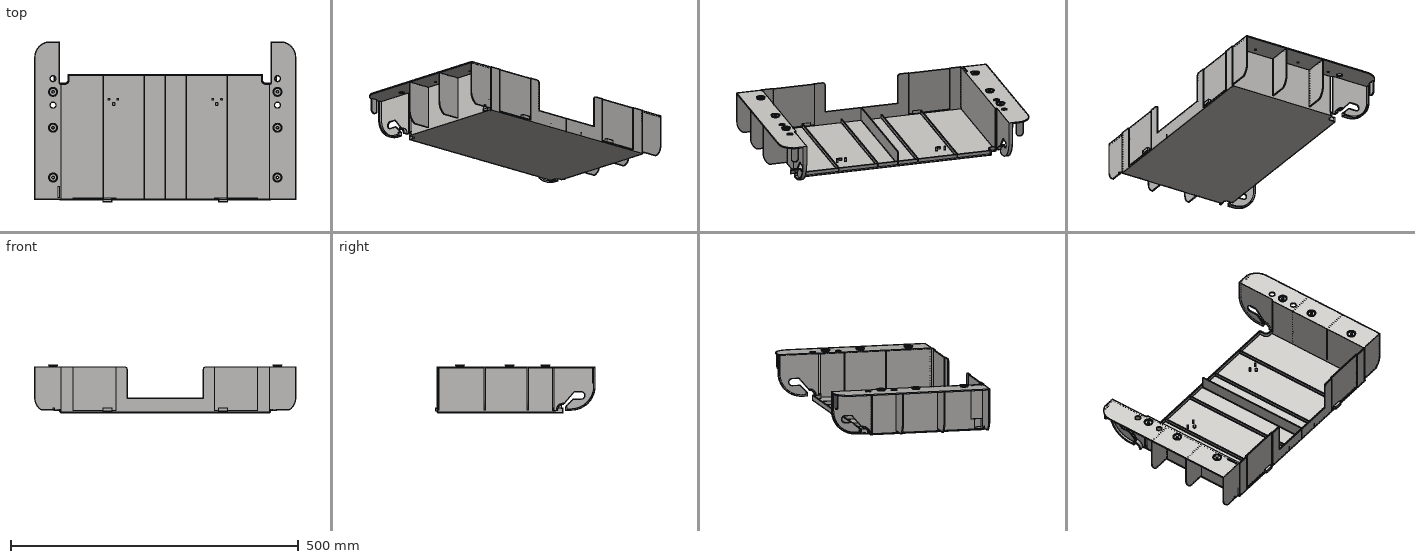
import cadquery as cq
import math

SHEET = 2.0
OVERALL_WIDTH = 453.8
REAR_Y = 274.75
TOP_Z = 80.2
BEND_RADIUS = 2.7

WALL_INNER_X = 181.0
WALL_OUTER_X = WALL_INNER_X + SHEET
WALL_END_Y = 200.4
FLOOR_REAR_Y = 218.6
NOTCH_X = 169.0
NOTCH_Y = 203.4
NOTCH_RADIUS = 6.0
LIP_TOP_Z = 8.5

CUTOUT_HALF_WIDTH = 66.0
CUTOUT_BOTTOM_Z = 25.5
CUTOUT_CORNER = 5.0
RECESS_INNER_X = 85.8
RECESS_OUTER_X = 160.2
RECESS_DEPTH = 1.5
RECESS_BOTTOM_Z = 4.0
CATCH_X = 100.6
CATCH_WIDTH = 15.5
CATCH_REACH = 3.0
CATCH_BOTTOM_Z = 3.0
CATCH_TOP_Z = 8.5

RIB_THICKNESS = 1.5
LOW_RIB_TOP_Z = 8.5
LOW_RIB_XS = (36.4, 107.8)
CENTRE_RIB_CORNER = 3.0

FLOOR_PINS = ((82.7, 175.4, 3.0, 6.0), (97.9, 175.4, 3.0, 6.0), (89.6, 167.2, 5.0, 3.0))

FLANGE_OUTER_X = OVERALL_WIDTH / 2
FLANGE_FRONT_Y = 1.5
FLANGE_CORNER_RADIUS = 28.0
FLANGE_CORNER_RUN = 20.5
GUSSET_FRONT_YS = (FLANGE_FRONT_Y, 82.0, 156.5)
GUSSET_BOTTOM_Z = 5.2
GUSSET_CORNER_RADIUS = 24.0
GUSSET_CORNER_RUN = 11.5

EAR_STEP = 3.0
EAR_INNER_X = WALL_INNER_X + EAR_STEP
EAR_OUTER_X = EAR_INNER_X + SHEET
EAR_START_Y = WALL_END_Y + EAR_STEP
EAR_BOTTOM_Z = 4.6
EAR_RADIUS = 42.0
RIM_THICKNESS = 2.5
RIM_OUTER_X = 190.5
RIM_END_Y = 223.0
RIM_END_Z = 10.5

SLOT_WIDTH = 12.5
SLOT_END_Y = 250.5
SLOT_Z = 30.4
SLOT_UPPER_BEND_Y = 238.5
SLOT_LOWER_BEND_Y = 236.5
MOUTH_Y = 219.5
MOUTH_Z = EAR_BOTTOM_Z
MOUTH_RADIUS = 10.0
MOUTH_LIP_THICKNESS = 2.3
MOUTH_LIP_OUTER_X = 193.0

TAB_X = 204.5
TAB_WIDTH = 12.5
TAB_REAR_Y = 272.0
TAB_BOTTOM_Z = 52.0
TAB_CORNER = 6.0

HOLE_X = 195.0
PLAIN_HOLE_YS = (165.3, 211.3)
PLAIN_HOLE_DIAMETER = 10.0
COLLAR_YS = (39.5, 126.0, 188.3)
COLLAR_DIAMETER = 15.5
COLLAR_NECK_DIAMETER = 12.5
COLLAR_BORE = 3.8
COLLAR_TOP_Z = 82.9
COLLAR_RECESS_DEPTH = 1.0

GUSSET_NOTCH_X = (-195.5, -192.5)
GUSSET_NOTCH_TOP_Z = 8.2
KEEPER_THICKNESS = 1.0
KEEPER_REAR_Y = 24.3
KEEPER_FRONT_Y = FLANGE_FRONT_Y + SHEET
KEEPER_STEP_Z = 20.5
KEEPER_FOOT_THICKNESS = 0.5
KEEPER_BASE_TOP_Z = 6.2
KEEPER_FOOT_Y = (6.5, 17.5)
KEEPER_SLOT_Y = (5.0, 23.5)
KEEPER_SLOT_X = 186.0


def box(x0, x1, y0, y1, z0, z1):
    return cq.Workplane("XY").box(x1 - x0, y1 - y0, z1 - z0, centered=False).translate((x0, y0, z0))


def cylinder(x, y, z, diameter, height):
    return cq.Workplane("XY").workplane(offset=z).center(x, y).circle(diameter / 2).extrude(height)


def both_sides(shape):
    return shape.union(shape.mirror("YZ"))


def forward_reach(radius, run):
    """Forward length of an arc that starts straight forward and turns sideways by `run`."""
    return math.sqrt(radius**2 - (radius - run) ** 2)


def arc_middle(radius, run):
    """Point half way along that arc as (sideways, forward)."""
    half_angle = math.acos((radius - run) / radius) / 2
    return radius * (1 - math.cos(half_angle)), radius * math.sin(half_angle)


def floor_outline(inset):
    """Floor outline with its two rear corner notches, moved inwards by `inset`."""
    side = WALL_OUTER_X - inset
    rear = FLOOR_REAR_Y - inset
    notch_x = NOTCH_X - inset
    notch_y = NOTCH_Y - inset
    corner = NOTCH_RADIUS + inset
    bend = corner * (1 - math.sqrt(0.5))
    return (
        cq.Workplane("XY")
        .moveTo(-side, inset)
        .lineTo(side, inset)
        .lineTo(side, notch_y)
        .lineTo(notch_x + corner, notch_y)
        .threePointArc((notch_x + bend, notch_y + bend), (notch_x, notch_y + corner))
        .lineTo(notch_x, rear)
        .lineTo(-notch_x, rear)
        .lineTo(-notch_x, notch_y + corner)
        .threePointArc((-notch_x - bend, notch_y + bend), (-notch_x - corner, notch_y))
        .lineTo(-side, notch_y)
        .close()
    )


def make_tray():
    block = floor_outline(0).extrude(LIP_TOP_Z)
    block = block.union(box(-WALL_OUTER_X, WALL_OUTER_X, 0, WALL_END_Y, 0, TOP_Z))
    block = block.faces("<Z").edges("<X or >X or <Y").fillet(BEND_RADIUS)
    tray = block.cut(floor_outline(SHEET).extrude(TOP_Z).translate((0, 0, SHEET)))
    front_corner = box(WALL_INNER_X, WALL_OUTER_X, 0, FLANGE_FRONT_Y, BEND_RADIUS, TOP_Z)
    return tray.cut(both_sides(front_corner))


def recess_front_wall(body):
    """Step the front wall back between the two recess lines on each side."""
    backing = box(
        RECESS_INNER_X, RECESS_OUTER_X, RECESS_DEPTH, RECESS_DEPTH + SHEET, RECESS_BOTTOM_Z, TOP_Z
    )
    step = box(RECESS_INNER_X, RECESS_OUTER_X, 0, RECESS_DEPTH, RECESS_BOTTOM_Z, TOP_Z)
    return body.union(both_sides(backing)).cut(both_sides(step))


def make_front_cutout():
    """Central opening in the front wall with rounded upper corners on the wall either side."""
    cutout = box(-CUTOUT_HALF_WIDTH, CUTOUT_HALF_WIDTH, 0, SHEET, CUTOUT_BOTTOM_Z, TOP_Z)
    corner_x = CUTOUT_HALF_WIDTH + CUTOUT_CORNER
    corner_z = TOP_Z - CUTOUT_CORNER
    flare = box(CUTOUT_HALF_WIDTH, corner_x, 0, SHEET, corner_z, TOP_Z)
    rounding = (
        cq.Workplane("XZ")
        .center(corner_x, corner_z)
        .circle(CUTOUT_CORNER)
        .extrude(-SHEET)
    )
    return cutout.union(both_sides(flare.cut(rounding)))


def make_catch():
    """Right-hand block that projects from the foot of the recessed front wall."""
    half_width = CATCH_WIDTH / 2
    return box(
        CATCH_X - half_width,
        CATCH_X + half_width,
        -CATCH_REACH,
        RECESS_DEPTH + SHEET,
        CATCH_BOTTOM_Z,
        CATCH_TOP_Z,
    )


def make_ribs():
    half = RIB_THICKNESS / 2
    centre = box(-half, half, SHEET, FLOOR_REAR_Y - SHEET, SHEET, CUTOUT_BOTTOM_Z)
    ribs = centre.edges("|X and >Y and >Z").fillet(CENTRE_RIB_CORNER)
    for x in LOW_RIB_XS:
        low_rib = box(x - half, x + half, SHEET, FLOOR_REAR_Y - SHEET, SHEET, LOW_RIB_TOP_Z)
        ribs = ribs.union(both_sides(low_rib))
    return ribs


def make_floor_pins():
    pins = cq.Workplane("XY")
    for x, y, diameter, height in FLOOR_PINS:
        pins = pins.union(cylinder(x, y, SHEET, diameter, height))
    return both_sides(pins)


def make_flange():
    """Horizontal right-hand top flange with an arc at its outer rear corner."""
    arc_rise = forward_reach(FLANGE_CORNER_RADIUS, FLANGE_CORNER_RUN)
    mid_in, mid_back = arc_middle(FLANGE_CORNER_RADIUS, FLANGE_CORNER_RUN)
    arc_start_y = REAR_Y - arc_rise
    return (
        cq.Workplane("XY")
        .workplane(offset=TOP_Z - SHEET)
        .moveTo(WALL_INNER_X, FLANGE_FRONT_Y)
        .lineTo(FLANGE_OUTER_X, FLANGE_FRONT_Y)
        .lineTo(FLANGE_OUTER_X, arc_start_y)
        .threePointArc(
            (FLANGE_OUTER_X - mid_in, arc_start_y + mid_back),
            (FLANGE_OUTER_X - FLANGE_CORNER_RUN, REAR_Y),
        )
        .lineTo(EAR_INNER_X, REAR_Y)
        .lineTo(EAR_INNER_X, EAR_START_Y)
        .lineTo(WALL_INNER_X, WALL_END_Y)
        .close()
        .extrude(SHEET)
    )


def make_gusset(front_y):
    arc_rise = forward_reach(GUSSET_CORNER_RADIUS, GUSSET_CORNER_RUN)
    mid_in, mid_down = arc_middle(GUSSET_CORNER_RADIUS, GUSSET_CORNER_RUN)
    arc_start_z = GUSSET_BOTTOM_Z + arc_rise
    return (
        cq.Workplane("XZ", origin=(0, front_y, 0))
        .moveTo(WALL_INNER_X, TOP_Z)
        .lineTo(FLANGE_OUTER_X, TOP_Z)
        .lineTo(FLANGE_OUTER_X, arc_start_z)
        .threePointArc(
            (FLANGE_OUTER_X - mid_in, arc_start_z - mid_down),
            (FLANGE_OUTER_X - GUSSET_CORNER_RUN, GUSSET_BOTTOM_Z),
        )
        .lineTo(WALL_INNER_X, GUSSET_BOTTOM_Z)
        .close()
        .extrude(-SHEET)
    )


def make_joggle():
    """Slanted strip that joins the side wall to the ear set outside it."""
    return (
        cq.Workplane("XY")
        .workplane(offset=EAR_BOTTOM_Z)
        .moveTo(WALL_INNER_X, WALL_END_Y)
        .lineTo(WALL_OUTER_X, WALL_END_Y)
        .lineTo(EAR_OUTER_X, EAR_START_Y)
        .lineTo(EAR_INNER_X, EAR_START_Y)
        .close()
        .extrude(TOP_Z - EAR_BOTTOM_Z)
    )


def ear_outline(inset):
    """Right-hand ear outline with its rear and bottom edges moved inwards by `inset`."""
    rear = REAR_Y - inset
    bottom = EAR_BOTTOM_Z + inset
    radius = EAR_RADIUS - inset
    bend = radius * (1 - math.sqrt(0.5))
    return (
        cq.Workplane("YZ", origin=(EAR_INNER_X, 0, 0))
        .moveTo(EAR_START_Y, TOP_Z)
        .lineTo(rear, TOP_Z)
        .lineTo(rear, bottom + radius)
        .threePointArc((rear - bend, bottom + bend), (rear - radius, bottom))
        .lineTo(EAR_START_Y, bottom)
        .close()
    )


def make_hook_slot():
    """Level slot with a round end that slants down into a rounded mouth at the lower edge."""
    radius = SLOT_WIDTH / 2
    top = SLOT_Z + radius
    bottom = SLOT_Z - radius
    mouth_bend = MOUTH_RADIUS * math.sqrt(0.5)
    return (
        cq.Workplane("YZ", origin=(EAR_INNER_X, 0, 0))
        .moveTo(SLOT_END_Y, top)
        .lineTo(SLOT_UPPER_BEND_Y, top)
        .lineTo(MOUTH_Y, MOUTH_Z + MOUTH_RADIUS)
        .threePointArc(
            (MOUTH_Y - mouth_bend, MOUTH_Z + mouth_bend), (MOUTH_Y - MOUTH_RADIUS, MOUTH_Z)
        )
        .lineTo(RIM_END_Y, MOUTH_Z)
        .lineTo(RIM_END_Y, RIM_END_Z)
        .lineTo(SLOT_LOWER_BEND_Y, bottom)
        .lineTo(SLOT_END_Y, bottom)
        .threePointArc((SLOT_END_Y + radius, SLOT_Z), (SLOT_END_Y, top))
        .close()
        .extrude(SHEET)
    )


def make_ear_rim():
    """Outward rim along the rear and bottom edges of the ear, turned up where it meets the mouth."""
    width = RIM_OUTER_X - EAR_INNER_X
    rim = ear_outline(0).extrude(width).cut(ear_outline(RIM_THICKNESS).extrude(width))
    rim = rim.cut(box(EAR_INNER_X, RIM_OUTER_X, EAR_START_Y, RIM_END_Y, 0, TOP_Z))
    end = box(EAR_INNER_X, RIM_OUTER_X, RIM_END_Y, RIM_END_Y + RIM_THICKNESS, EAR_BOTTOM_Z, RIM_END_Z)
    return rim.union(end)


def make_mouth_lip():
    """Outward quarter-ring lip around the rounded mouth of the slot."""
    outer_radius = MOUTH_RADIUS + MOUTH_LIP_THICKNESS
    width = MOUTH_LIP_OUTER_X - EAR_INNER_X
    ring = (
        cq.Workplane("YZ", origin=(EAR_INNER_X, MOUTH_Y, MOUTH_Z))
        .circle(outer_radius)
        .circle(MOUTH_RADIUS)
        .extrude(width)
    )
    quarter = box(
        EAR_INNER_X, MOUTH_LIP_OUTER_X, MOUTH_Y - outer_radius, MOUTH_Y, MOUTH_Z, MOUTH_Z + outer_radius
    )
    return ring.intersect(quarter)


def make_side():
    """Right-hand flange, gussets, joggle, ear, rear tab, holes and collars."""
    side = make_flange().union(make_joggle())
    for front_y in GUSSET_FRONT_YS:
        side = side.union(make_gusset(front_y))
    ear = ear_outline(0).extrude(SHEET).cut(make_hook_slot())
    side = side.union(ear).union(make_ear_rim()).union(make_mouth_lip())
    tab = box(
        TAB_X - TAB_WIDTH / 2,
        TAB_X + TAB_WIDTH / 2,
        TAB_REAR_Y - SHEET,
        TAB_REAR_Y,
        TAB_BOTTOM_Z,
        TOP_Z - SHEET,
    )
    side = side.union(tab.edges("|Y and <Z").fillet(TAB_CORNER))
    for y in PLAIN_HOLE_YS:
        side = side.cut(cylinder(HOLE_X, y, TOP_Z - SHEET, PLAIN_HOLE_DIAMETER, SHEET))
    for y in COLLAR_YS:
        side = add_collar(side, y)
    return side


def add_collar(side, y):
    """Collar that widens upwards, with a shallow round recess and a through bore."""
    collar = (
        cq.Workplane("XY")
        .workplane(offset=TOP_Z)
        .center(HOLE_X, y)
        .circle(COLLAR_NECK_DIAMETER / 2)
        .workplane(offset=COLLAR_TOP_Z - TOP_Z)
        .circle(COLLAR_DIAMETER / 2)
        .loft()
    )
    recess = cylinder(
        HOLE_X, y, COLLAR_TOP_Z - COLLAR_RECESS_DEPTH, COLLAR_NECK_DIAMETER, COLLAR_RECESS_DEPTH
    )
    bore = cylinder(HOLE_X, y, TOP_Z - SHEET, COLLAR_BORE, COLLAR_TOP_Z - TOP_Z + SHEET)
    return side.union(collar).cut(recess).cut(bore)


def add_left_keeper(body):
    """Slot in the left flange and the stepped plate against the left wall below it."""
    plate_x = -WALL_OUTER_X - KEEPER_THICKNESS
    slot = box(-KEEPER_SLOT_X, -WALL_OUTER_X, *KEEPER_SLOT_Y, TOP_Z - SHEET, TOP_Z)
    plate = box(plate_x, -WALL_OUTER_X, KEEPER_FRONT_Y, KEEPER_REAR_Y, KEEPER_STEP_Z, TOP_Z)
    foot_x = -WALL_OUTER_X - KEEPER_FOOT_THICKNESS
    foot = box(foot_x, -WALL_OUTER_X, *KEEPER_FOOT_Y, BEND_RADIUS, KEEPER_STEP_Z)
    base = box(plate_x, -WALL_OUTER_X, *KEEPER_FOOT_Y, BEND_RADIUS, KEEPER_BASE_TOP_Z)
    return body.cut(slot).union(plate).union(foot).union(base)


def make_left_gusset_notch():
    front_y = FLANGE_FRONT_Y
    return box(*GUSSET_NOTCH_X, front_y, front_y + SHEET, GUSSET_BOTTOM_Z, GUSSET_NOTCH_TOP_Z)


body = recess_front_wall(make_tray()).cut(make_front_cutout())
body = body.union(both_sides(make_side()))
body = body.union(both_sides(make_catch())).union(make_ribs()).union(make_floor_pins())
result = add_left_keeper(body).cut(make_left_gusset_notch())